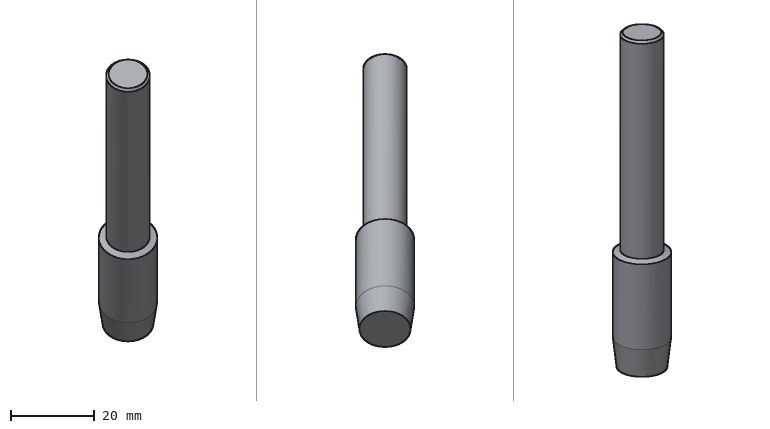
import cadquery as cq

total_length = 88.0

shank_radius = 10.5 / 2
shank_chamfer = 0.6

head_radius = 14.0 / 2
head_length = 30.7
shoulder_height = 0.6
taper_length = 7.7
taper_end_radius = 12.2 / 2


def revolve_profile(points):
    """Revolve a closed (radius, height) outline about the Z axis."""
    return cq.Workplane("XZ").polyline(points).close().revolve(360, (0, 0), (0, 1))


def make_head():
    """Round head with a tapered lower end and a conical shoulder up to the shank."""
    return revolve_profile([
        (0, 0),
        (taper_end_radius, 0),
        (head_radius, taper_length),
        (head_radius, head_length - shoulder_height),
        (shank_radius, head_length),
        (0, head_length),
    ])


def make_shank():
    """Straight round shank that stands on the head, chamfered at its free end."""
    return revolve_profile([
        (0, head_length),
        (shank_radius, head_length),
        (shank_radius, total_length - shank_chamfer),
        (shank_radius - shank_chamfer, total_length),
        (0, total_length),
    ])


head = make_head()
shank = make_shank()

result = cq.Compound.makeCompound([head.val(), shank.val()])